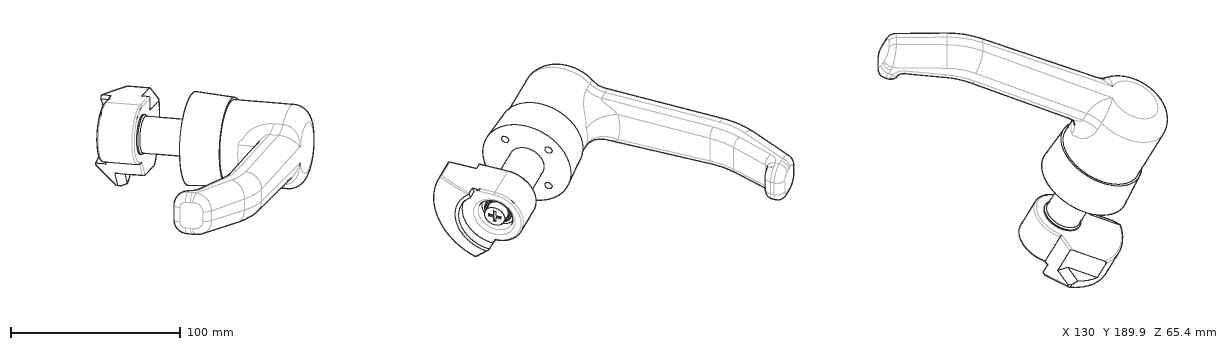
import cadquery as cq
import math


cam_front_x = -59.7
cam_hub_front_x = -53.8
spindle_end_x = -45.6
cam_back_x = -30.8
shoulder_end_x = -29.0
collar_back_x = 24.0
handle_back_x = 70.3

collar_front_radius = 28.0
collar_back_radius = 26.5
fixing_hole_radius = 2.3
fixing_hole_offset = 13.7

spindle_radius = 11.0
shoulder_radius = 12.0
shoulder_chamfer = shoulder_radius - spindle_radius

handle_hub_radius = 25.0
grip_front_x = 49.8
grip_root_half_height = 15.2
grip_tip_half_height = 12.7
grip_tip_y = -150.0
bend_radius = 50.0
outer_bend_y = -110.0
inner_bend_y = -105.0
outer_tip_x = 51.7
hook_front_x = 29.5
hook_back_y = -138.0
hook_corner_x = 38.5
hook_corner_radius = 3.0
hook_nose_radius = 8.4
outer_edge_radius = 9.9
inner_edge_radius = 5.0
root_fillet_radius = 14.8

cam_hub_radius = 18.0
cam_radius = 39.9
cam_rim_inner_radius = 20.3
cam_rim_outer_radius = 22.6
cam_cone_back_x = -50.0
cam_side_angle = 55.0
cam_side_distance = 11.0
cam_tip_chamfer = 1.1
hub_edge_radius = 1.1
lobe_edge_radius = 1.0
bore_mouth_radius = 2.0
rim_end_bottom_y = 12.7
rim_end_bottom_z = 15.8
rim_end_top_y = 13.9

top_ramp_start_x = -36.0
top_ramp_end_z = 9.9
top_ramp_inner_y = 18.0
relief_x = -44.3
relief_top_z = -27.2
relief_ramp_rise = 4.7
relief_ramp_length = 3.6

screw_head_radius = 6.5
screw_head_height = 7.6
cross_slot_length = 7.6
cross_slot_width = 1.5
cross_slot_depth = 1.1
washer_radius = 8.5
washer_thickness = 1.9
washer_notch_count = 24
washer_notch_width = 0.8
washer_notch_depth = 1.5


def disc(radius, start_x, end_x):
    """Cylinder about the spindle axis."""
    return cq.Workplane("YZ").workplane(offset=start_x).circle(radius).extrude(end_x - start_x)


def revolved(points):
    """Solid of revolution about the spindle axis from (x, radius) points."""
    return cq.Workplane("XY").polyline(points).close().revolve(360, (0, 0, 0), (1, 0, 0))


def round_upright_edge(solid, x, y, radius):
    """Round the edge parallel to Z at (x, y)."""
    return solid.edges(cq.NearestToPointSelector((x, y, 0))).fillet(radius)


def edges_where(solid, condition):
    """Edges for which condition(bounding box, centre) holds."""
    return solid.newObject([e for e in solid.edges().vals() if condition(e.BoundingBox(), e.Center())])


def make_collar():
    collar = revolved(
        [(0, 0), (0, collar_front_radius), (collar_back_x, collar_back_radius), (collar_back_x, 0)]
    )
    holes = (
        cq.Workplane("YZ")
        .rect(2 * fixing_hole_offset, 2 * fixing_hole_offset, forConstruction=True)
        .vertices()
        .circle(fixing_hole_radius)
        .extrude(collar_back_x)
    )
    return collar.cut(holes).cut(disc(spindle_radius, 0, collar_back_x))


def make_spindle():
    shoulder = disc(shoulder_radius, cam_back_x, shoulder_end_x)
    shoulder = shoulder.faces(">X").edges().chamfer(shoulder_chamfer)
    return disc(spindle_radius, spindle_end_x, collar_back_x).union(shoulder)


def make_grip():
    """Bent lever with a hooked tip, tapering in height towards the tip."""
    outline = [
        (handle_back_x, 0),
        (handle_back_x, outer_bend_y),
        (outer_tip_x, grip_tip_y),
        (hook_front_x, grip_tip_y),
        (hook_front_x, hook_back_y),
        (hook_corner_x, hook_back_y),
        (grip_front_x, inner_bend_y),
        (grip_front_x, 0),
    ]
    plan = cq.Workplane("XY").polyline(outline).close().extrude(2 * grip_root_half_height, both=True)
    plan = round_upright_edge(plan, handle_back_x, outer_bend_y, bend_radius)
    plan = round_upright_edge(plan, grip_front_x, inner_bend_y, bend_radius)
    plan = round_upright_edge(plan, hook_corner_x, hook_back_y, hook_corner_radius)

    taper = (
        cq.Workplane("YZ")
        .polyline(
            [
                (0, -grip_root_half_height),
                (0, grip_root_half_height),
                (grip_tip_y, grip_tip_half_height),
                (grip_tip_y, -grip_tip_half_height),
            ]
        )
        .close()
        .extrude(handle_back_x)
    )
    grip = plan.intersect(taper)

    def on_back_edge(box, centre):
        return abs(centre.z) > 7.6 and box.xmax > 62.7 and box.ylen > 9.5 and centre.x > 58.9

    grip = edges_where(grip, on_back_edge).fillet(outer_edge_radius)

    def on_nose_corner(box, centre):
        return box.xmax < hook_front_x + 0.2 and abs(centre.z) > 7.6

    grip = edges_where(grip, on_nose_corner).fillet(hook_nose_radius)

    def on_front_or_tip_edge(box, centre):
        at_tip = box.ymax < grip_tip_y + 0.2
        on_nose = box.xmax < hook_front_x + hook_nose_radius + 0.2 and box.ylen < 1.0
        on_front = centre.x < grip_front_x + 0.2 and box.zmin * box.zmax > 0 and centre.y < -0.2
        on_nose_side = box.xmax < hook_front_x + hook_nose_radius + 0.2 and box.ylen > 1.9
        on_back_round = box.xmin > hook_corner_x and box.ymax < inner_bend_y - 9.5 and box.ymin < grip_tip_y + 9.5
        return at_tip or on_nose or (on_front and not on_nose_side and not on_back_round)

    return edges_where(grip, on_front_or_tip_edge).fillet(inner_edge_radius)


def make_handle():
    hub = disc(handle_hub_radius, collar_back_x, handle_back_x)
    hub = hub.faces(">X").edges().fillet(outer_edge_radius)
    handle = hub.union(make_grip())

    def on_root(box, centre):
        on_hub_side = box.ymin > -handle_hub_radius - 0.2 and box.ymax < -7.6
        on_hub_rim = box.xlen < 0.02 and box.xmin > grip_front_x + 1.9
        return on_hub_side and box.xmin > grip_front_x - 0.2 and not on_hub_rim

    return edges_where(handle, on_root).fillet(root_fillet_radius)


def make_cam():
    angle = math.radians(cam_side_angle)
    along = (math.cos(angle), -math.sin(angle))
    outward = (-math.sin(angle), -math.cos(angle))

    def on_side(radius):
        """Point of the lower side face at a given distance from the axis."""
        run = math.sqrt(radius**2 - cam_side_distance**2)
        return tuple(cam_side_distance * o + run * a for o, a in zip(outward, along))

    top_tip = (math.sqrt(cam_radius**2 - cam_hub_radius**2), cam_hub_radius)
    outline = (
        cq.Workplane("YZ")
        .workplane(offset=cam_front_x)
        .moveTo(0, cam_hub_radius)
        .threePointArc((-cam_hub_radius, 0), on_side(cam_hub_radius))
        .lineTo(*on_side(cam_radius))
        .threePointArc((cam_radius, 0), top_tip)
        .close()
        .extrude(cam_back_x - cam_front_x)
    )
    tip_y, tip_z = on_side(cam_radius)
    outline = outline.edges(
        cq.NearestToPointSelector(((cam_front_x + cam_back_x) / 2, tip_y, tip_z))
    ).chamfer(cam_tip_chamfer)

    section = revolved(
        [
            (cam_hub_front_x, 0),
            (cam_hub_front_x, cam_rim_inner_radius),
            (cam_front_x, cam_rim_inner_radius),
            (cam_front_x, cam_rim_outer_radius),
            (cam_cone_back_x, cam_radius),
            (cam_back_x, cam_radius),
            (cam_back_x, 0),
        ]
    )
    cam = outline.intersect(section)

    def on_lobe_edge(box, centre):
        in_top_face = box.zmin > cam_hub_radius - 0.02 and centre.y > cam_rim_inner_radius
        in_side_face = box.zmax < -cam_rim_inner_radius and centre.y < tip_y and box.xlen > 1.9
        return (in_top_face or in_side_face) and centre.x < cam_back_x - 0.2

    cam = edges_where(cam, on_lobe_edge).fillet(lobe_edge_radius)

    def on_hub_edge(box, centre):
        at_end = box.xlen < 0.02 and (box.xmin < cam_hub_front_x + 0.2 or box.xmin > cam_back_x - 0.2)
        return at_end and box.xmin > cam_front_x + 0.2 and box.ymin < 0.2

    cam = edges_where(cam, on_hub_edge).fillet(hub_edge_radius)

    ramp = (
        cq.Workplane("XZ", origin=(0, top_ramp_inner_y, 0))
        .polyline(
            [
                (top_ramp_start_x, cam_hub_radius),
                (cam_back_x, cam_hub_radius),
                (cam_back_x, top_ramp_end_z),
            ]
        )
        .close()
        .extrude(-cam_radius)
    )
    cam = cam.cut(ramp)

    rim_end = (
        cq.Workplane("YZ")
        .workplane(offset=cam_front_x)
        .polyline(
            [
                (0, rim_end_bottom_z),
                (rim_end_bottom_y, rim_end_bottom_z),
                (rim_end_top_y, cam_hub_radius),
                (0, cam_hub_radius),
            ]
        )
        .close()
        .extrude(cam_hub_front_x - cam_front_x)
    )
    cam = cam.cut(rim_end)

    def below_relief_top(start_x):
        block = cq.Workplane("XY").box(
            cam_back_x - start_x, 2 * cam_radius, cam_radius, centered=(False, True, False)
        )
        return block.translate((start_x, 0, relief_top_z - cam_radius))

    foot = (0, *(cam_side_distance * o for o in outward))
    side_plane = cq.Plane(origin=foot, xDir=(1, 0, 0), normal=(0, *along))
    relief_ramp = (
        cq.Workplane(side_plane)
        .polyline([(relief_x - relief_ramp_rise, 0), (relief_x, 0), (relief_x, -relief_ramp_length)])
        .close()
        .extrude(cam_radius)
        .intersect(below_relief_top(relief_x - relief_ramp_rise))
    )
    cam = cam.cut(below_relief_top(relief_x)).cut(relief_ramp)

    cam = cam.cut(disc(spindle_radius, cam_front_x, cam_back_x))

    def on_bore_mouth(box, centre):
        at_mouth = abs(box.xmin - cam_hub_front_x) < 0.2 and box.xlen < 0.02
        return at_mouth and box.ymax < spindle_radius + 0.2 and box.ylen > spindle_radius

    return edges_where(cam, on_bore_mouth).fillet(bore_mouth_radius)


def make_screw():
    head_x = spindle_end_x - screw_head_height
    head = disc(screw_head_radius, head_x, spindle_end_x)
    for length, width in ((cross_slot_length, cross_slot_width), (cross_slot_width, cross_slot_length)):
        slot = cq.Workplane("YZ").workplane(offset=head_x).rect(length, width).extrude(cross_slot_depth)
        head = head.cut(slot)
    return head


def make_washer():
    front_x = spindle_end_x - washer_thickness
    washer = disc(washer_radius, front_x, spindle_end_x)
    notches = (
        cq.Workplane("YZ")
        .workplane(offset=front_x)
        .polarArray(washer_radius, 0, 360, washer_notch_count)
        .rect(2 * washer_notch_depth, washer_notch_width)
        .extrude(washer_thickness)
    )
    return washer.cut(notches).cut(disc(screw_head_radius, front_x, spindle_end_x))


collar = make_collar()
spindle = make_spindle()
handle = make_handle()
cam = make_cam()
screw = make_screw()
washer = make_washer()

result = cq.Compound.makeCompound(
    [collar.val(), spindle.val(), handle.val(), cam.val(), screw.val(), washer.val()]
)